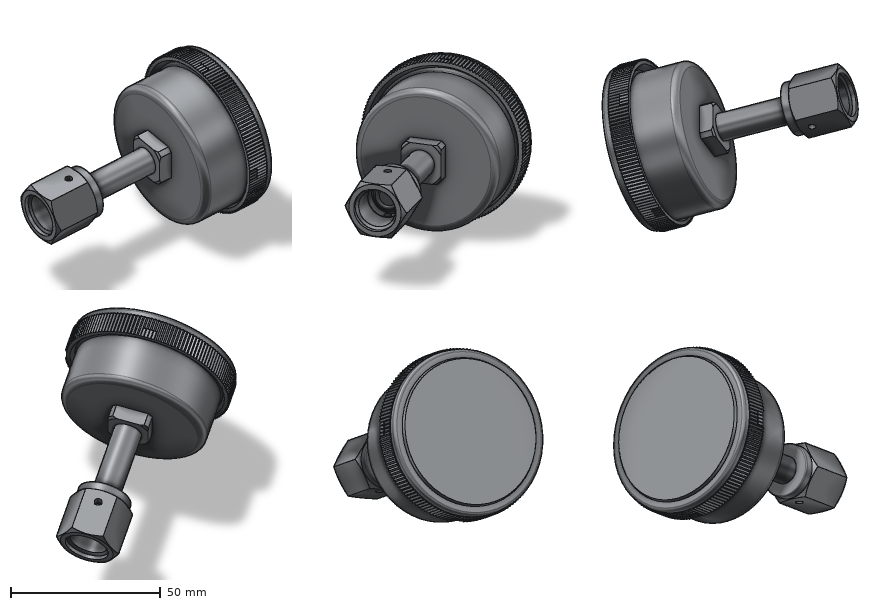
import cadquery as cq
import math


nut_back_y = 17.4
collar_back_y = 20.4
square_front_y = 46.0
case_front_y = 50.9
knurl_front_y = 67.5
knurl_back_y = 74.8
bezel_back_y = 77.45
window_back_y = 78.5

knurl_radius = 28.9
tooth_depth = 0.55
tooth_count = 144
bezel_radius = knurl_radius - tooth_depth
bezel_fillet = 1.0
window_front_radius = 25.3
window_back_radius = 24.8
grip_flat_count = 4
grip_flat_width = 4.55
grip_flat_length = 3.1
grip_flat_height = 28.4

case_drop = 1.1
case_radius = 25.5
case_fillet = 2.4
flare_front_y = 68.7
flare_step = 0.4
flare_back_radius = 27.1
recess_radius = 27.1
recess_floor_radius = 25.2
recess_depth = 3.1
recess_back_y = knurl_front_y + recess_depth

square_width = 14.05
square_corner_radius = 8.95
square_face_radius = 8.0
stem_radius = 4.8

nut_flats = 19.0
nut_corner_radius = nut_flats / 2 / math.cos(math.radians(30))
nut_face_radius = 9.25
chamfer_slope = math.tan(math.radians(30))
collar_radius = 9.25
collar_fillet = 0.4
mouth_radius = 7.5
mouth_depth = 1.4
thread_radius = 6.5
thread_cone_length = 0.6
thread_end_y = 11.0
neck_radius = 6.35
neck_end_y = 14.5
vent_radius = 1.25
vent_y = 12.8

gland_radius = 5.8
gland_face_y = 13.35
gland_cone_radius = 5.6
gland_cone_length = 0.9
gland_shoulder_y = gland_face_y + gland_cone_length
bead_outer_radius = 4.6
bead_inner_radius = 3.1


def turned(points):
    """Solid of revolution about the Y axis from (radius, y) points."""
    return cq.Workplane("XY").polyline(points).close().revolve(360, (0, 0, 0), (0, 1, 0))


def cylinder(radius, start_y, end_y):
    return turned([(0, start_y), (radius, start_y), (radius, end_y), (0, end_y)])


def xz_plane(y):
    """Sketch plane at height y whose extrusions run toward +Y."""
    return cq.Workplane(cq.Plane(origin=(0, y, 0), xDir=(1, 0, 0), normal=(0, 1, 0)))


def make_knurl():
    half_pitch = math.pi / tooth_count
    points = []
    for i in range(2 * tooth_count):
        radius = knurl_radius if i % 2 else bezel_radius
        angle = i * half_pitch
        points.append((radius * math.cos(angle), radius * math.sin(angle)))
    ring = xz_plane(knurl_front_y).polyline(points).close().extrude(knurl_back_y - knurl_front_y)

    cut_height = 2 * (knurl_radius - grip_flat_height)
    flat_cut = cq.Workplane("XY").box(grip_flat_width, grip_flat_length, cut_height)
    flat_cut = flat_cut.translate(
        (0, knurl_front_y + grip_flat_length / 2, grip_flat_height + cut_height / 2)
    )
    for i in range(grip_flat_count):
        ring = ring.cut(flat_cut.rotate((0, 0, 0), (0, 1, 0), i * 360 / grip_flat_count))

    recess = turned([
        (0, knurl_front_y),
        (recess_radius, knurl_front_y),
        (recess_floor_radius, recess_back_y),
        (0, recess_back_y),
    ])
    return ring.cut(recess)


def make_bezel():
    rim = cylinder(bezel_radius, knurl_back_y, bezel_back_y).faces(">Y").edges().fillet(bezel_fillet)
    window = turned([
        (0, bezel_back_y),
        (window_front_radius, bezel_back_y),
        (window_back_radius, window_back_y),
        (0, window_back_y),
    ])
    return rim.union(window)


def make_case():
    body = cylinder(case_radius, case_front_y, recess_back_y).faces("<Y").edges().fillet(case_fillet)
    flare = turned([
        (0, flare_front_y),
        (case_radius, flare_front_y),
        (case_radius + flare_step, flare_front_y + flare_step),
        (flare_back_radius, recess_back_y),
        (0, recess_back_y),
    ])
    return body.union(flare).translate((0, 0, -case_drop))


def make_square_boss():
    length = case_front_y - square_front_y
    block = xz_plane(square_front_y).rect(square_width, square_width).extrude(length)
    chamfer_length = (square_corner_radius - square_face_radius) * chamfer_slope
    envelope = turned([
        (0, square_front_y),
        (square_face_radius, square_front_y),
        (square_corner_radius, square_front_y + chamfer_length),
        (square_corner_radius, case_front_y),
        (0, case_front_y),
    ])
    return block.intersect(envelope)


def make_nut():
    prism = xz_plane(0).polygon(6, 2 * nut_corner_radius).extrude(nut_back_y)
    chamfer_length = (nut_corner_radius - nut_face_radius) * chamfer_slope
    envelope = turned([
        (0, 0),
        (nut_face_radius, 0),
        (nut_corner_radius, chamfer_length),
        (nut_corner_radius, nut_back_y - chamfer_length),
        (nut_face_radius, nut_back_y),
        (0, nut_back_y),
    ])
    collar = cylinder(collar_radius, nut_back_y, collar_back_y)
    collar = collar.faces(">Y").edges().fillet(collar_fillet)
    bore = turned([
        (0, 0),
        (mouth_radius, 0),
        (mouth_radius, mouth_depth),
        (thread_radius, mouth_depth + thread_cone_length),
        (thread_radius, thread_end_y),
        (neck_radius, thread_end_y),
        (neck_radius, neck_end_y),
        (0, neck_end_y),
    ])
    vent = cq.Workplane("XY").center(0, vent_y).circle(vent_radius).extrude(nut_flats / 2, both=True)
    return prism.intersect(envelope).union(collar).cut(bore).cut(vent)


def make_gland():
    bead_radius = (bead_outer_radius - bead_inner_radius) / 2
    bead_center = (bead_outer_radius + bead_inner_radius) / 2
    return (
        cq.Workplane("XY")
        .moveTo(0, gland_face_y)
        .lineTo(bead_inner_radius, gland_face_y)
        .threePointArc((bead_center, gland_face_y - bead_radius), (bead_outer_radius, gland_face_y))
        .lineTo(gland_cone_radius, gland_shoulder_y)
        .lineTo(gland_radius, gland_shoulder_y)
        .lineTo(gland_radius, neck_end_y)
        .lineTo(0, neck_end_y)
        .close()
        .revolve(360, (0, 0, 0), (0, 1, 0))
    )


stem = cylinder(stem_radius, collar_back_y, square_front_y)

result = (
    make_knurl()
    .union(make_bezel())
    .union(make_case())
    .union(make_square_boss())
    .union(stem)
    .union(make_nut())
    .union(make_gland())
)